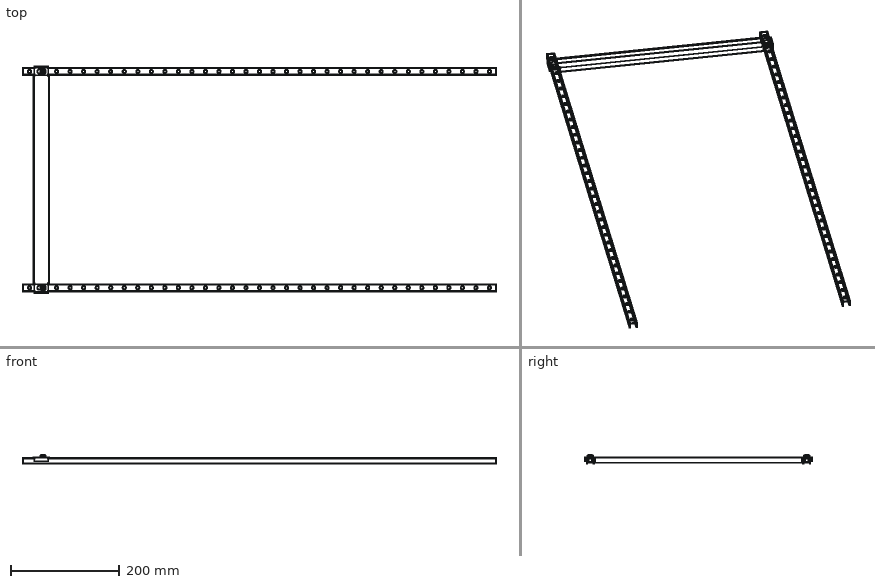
import cadquery as cq

rail_length = 875.0
rail_width = 14.0
rail_height = 10.5
rail_wall = 1.5
rail_spacing = 400.0
hole_count = 35
hole_diameter = 5.7

bar_length = 420.0
bar_width = 30.0
bar_center_x = 34.0
bar_sheet = 1.5
skirt_depth = 10.5
tab_width = 25.0
tab_depth = 8.0
rail_clearance = 2.0
slot_width = 8.0

total_height = 17.0
head_diameter = 10.5
head_rim_height = 3.0
head_top_diameter = 5.0
socket_size = 3.5
socket_depth = 2.0
shank_bottom = 2.0
nut_width = 9.0
nut_height = 5.0

hole_pitch = rail_length / hole_count
first_hole_x = hole_pitch / 2
screw_x = first_hole_x + hole_pitch
rail_y = rail_spacing / 2
web_bottom = rail_height - rail_wall
bar_bottom = rail_height
bar_top = bar_bottom + bar_sheet
skirt_length = rail_spacing - rail_width - 2 * rail_clearance
slot_length = 2 * (screw_x - bar_center_x) + slot_width
both_sides = (-1, 1)


def block(length, width, bottom, top, x, y):
    """Box centred on x and y, reaching from one height to another."""
    return cq.Workplane("XY", origin=(x, y, bottom)).rect(length, width).extrude(top - bottom)


def make_rail(y):
    """Channel rail with an even row of holes along its web."""
    middle_x = rail_length / 2
    outer = block(rail_length, rail_width, 0, rail_height, middle_x, y)
    cavity = block(rail_length, rail_width - 2 * rail_wall, 0, web_bottom, middle_x, y)
    hole_places = [(first_hole_x + i * hole_pitch, y) for i in range(hole_count)]
    holes = cq.Workplane("XY").pushPoints(hole_places).circle(hole_diameter / 2).extrude(rail_height)
    return outer.cut(cavity).cut(holes)


def make_crossbar():
    """Sheet plate with two long skirts, two end tabs and a screw slot at each end."""
    bar = block(bar_width, skirt_length, bar_bottom, bar_top, bar_center_x, 0)
    bar = bar.union(block(tab_width, bar_length, bar_bottom, bar_top, bar_center_x, 0))
    for side in both_sides:
        skirt_x = bar_center_x + side * (bar_width - bar_sheet) / 2
        bar = bar.union(block(bar_sheet, skirt_length, bar_top - skirt_depth, bar_top, skirt_x, 0))
        tab_y = side * (bar_length - bar_sheet) / 2
        bar = bar.union(block(tab_width, bar_sheet, bar_top - tab_depth, bar_top, bar_center_x, tab_y))
    slots = (
        cq.Workplane("XY", origin=(0, 0, bar_bottom))
        .pushPoints([(bar_center_x, side * rail_y) for side in both_sides])
        .slot2D(slot_length, slot_width)
        .extrude(bar_sheet)
    )
    return bar.cut(slots).clean()


def make_screw(y):
    """Fastener clamping the crossbar: socketed head, shank and nut end in one piece."""
    shank_radius = hole_diameter / 2
    head_radius = head_diameter / 2
    rim_top = bar_top + head_rim_height
    turned = (
        cq.Workplane("XZ")
        .moveTo(0, shank_bottom)
        .lineTo(shank_radius, shank_bottom)
        .lineTo(shank_radius, bar_top)
        .lineTo(head_radius, bar_top)
        .lineTo(head_radius, rim_top)
        .lineTo(head_top_diameter / 2, total_height)
        .lineTo(0, total_height)
        .close()
        .revolve(360, (0, 0, 0), (0, 1, 0))
    )
    nut = (
        cq.Workplane("XY", origin=(0, 0, web_bottom - nut_height))
        .polygon(6, nut_width, circumscribed=True)
        .extrude(nut_height)
    )
    socket = (
        cq.Workplane("XY", origin=(0, 0, total_height - socket_depth))
        .polygon(6, socket_size, circumscribed=True)
        .extrude(socket_depth)
    )
    return turned.union(nut).cut(socket).translate((screw_x, y, 0))


crossbar = make_crossbar()
rails = [make_rail(side * rail_y) for side in both_sides]
screws = [make_screw(side * rail_y) for side in both_sides]

result = cq.Compound.makeCompound(
    [crossbar.val(), *[rail.val() for rail in rails], *[screw.val() for screw in screws]]
)